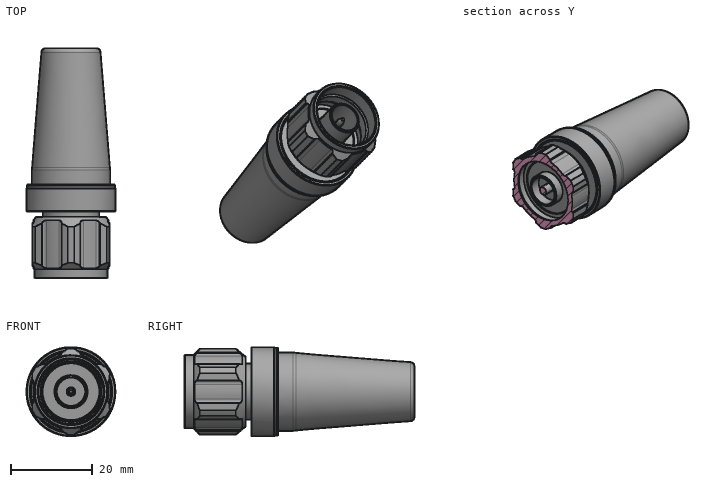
import cadquery as cq
import math


total_length = 56.5
cap_diameter = 19.3
taper_base_diameter = 19.15
tip_diameter = 14.4
cap_shoulder_start = 26.6
taper_start = 27.3
tip_round = 1.15

collar_diameter = 21.9
collar_front = 16.4
collar_back = 22.15
collar_edge_chamfer = 0.15
rear_lip_diameter = 21.65
rear_lip_chamfer_start = 22.7
rear_lip_back = 23.05
rear_lip_chamfer_depth = 0.15
collar_groove_outer_diameter = 20.35
collar_groove_inner_diameter = 19.55
collar_groove_depth = 0.3
neck_diameter = 13.9

nut_ring_diameter = 18.0
nut_ring_chamfer = 0.15
nut_front = 2.25
nut_back = 15.1
nut_tip_diameter = 21.15
nut_front_chamfer_length = 1.5
nut_back_diameter = 17.05
nut_back_chamfer_length = 2.45
nut_across_flats = 19.05
nut_sides = 6
panel_diameter = 18.55
recess_width = 5.7
recess_wall_depth = 0.2
recess_wall_inset = 0.14
recess_hollow_depth = 0.1
panel_width = 3.55

mouth_diameter = 16.5
bore_diameter = 15.9
mouth_chamfer_length = 0.15
thread_diameter = 15.0
thread_start = 4.05
thread_cone_length = 0.3
relief_diameter = 16.15
relief_cone_start = 7.1
relief_cone_length = 1.25
bore_depth = 10.15
floor_rim_diameter = 14.25
floor_chamfer_length = 0.15
floor_depth = bore_depth + floor_chamfer_length

sleeve_base_diameter = 8.2
sleeve_base_front = 7.9
sleeve_outer_diameter = 8.0
sleeve_inner_diameter = 6.95
sleeve_front = 1.0
sleeve_lip_diameter = 7.75
sleeve_edge_chamfer_length = 0.15
pin_base_diameter = 2.15
pin_base_front = 5.65
pin_diameter = 1.65
pin_tip_diameter = 0.8
pin_tip = 1.7
pin_dome_height = 0.2
pin_cone_length = 1.4


def revolve_about_y(points):
    """Revolve a closed (radius, station) outline about the Y axis."""
    return cq.Workplane("XY").polyline(points).close().revolve(360, (0, 0, 0), (0, 1, 0))


def cylinder(diameter, start, end):
    radius = diameter / 2
    return revolve_about_y([(0, start), (radius, start), (radius, end), (0, end)])


def make_cap():
    base = cap_diameter / 2
    cap = revolve_about_y([
        (0, collar_back),
        (base, collar_back),
        (base, cap_shoulder_start),
        (taper_base_diameter / 2, taper_start),
        (tip_diameter / 2, total_length),
        (0, total_length),
    ])
    return cap.faces(">Y").edges().fillet(tip_round)


def make_collar():
    outer = collar_diameter / 2
    lip = rear_lip_diameter / 2
    collar = revolve_about_y([
        (0, collar_front),
        (outer - collar_edge_chamfer, collar_front),
        (outer, collar_front + collar_edge_chamfer),
        (outer, collar_back - collar_edge_chamfer),
        (lip, collar_back),
        (lip, rear_lip_chamfer_start),
        (lip - rear_lip_chamfer_depth, rear_lip_back),
        (0, rear_lip_back),
    ])
    groove_inner = collar_groove_inner_diameter / 2
    groove_outer = collar_groove_outer_diameter / 2
    groove = revolve_about_y([
        (groove_inner, collar_front),
        ((groove_inner + groove_outer) / 2, collar_front + collar_groove_depth),
        (groove_outer, collar_front),
    ])
    return collar.cut(groove)


def make_nut_envelope():
    """Turned blank of the nut: front ring, chamfered grip and back face."""
    ring = nut_ring_diameter / 2
    tip = nut_tip_diameter / 2
    return revolve_about_y([
        (0, 0),
        (ring - nut_ring_chamfer, 0),
        (ring, nut_ring_chamfer),
        (ring, nut_front),
        (tip, nut_front + nut_front_chamfer_length),
        (tip, nut_back - nut_back_chamfer_length),
        (nut_back_diameter / 2, nut_back),
        (0, nut_back),
    ])


def make_flat_cutter():
    """Cutter for the +X side of the nut: a flat with a recessed, rounded panel."""
    apothem = nut_across_flats / 2
    panel_radius = panel_diameter / 2
    half_recess = recess_width / 2
    half_panel = panel_width / 2
    panel_edge = math.sqrt(panel_radius**2 - half_panel**2)
    wall_foot = apothem - recess_wall_depth
    half_foot = half_recess - recess_wall_inset
    hollow = (wall_foot + panel_edge) / 2 - recess_hollow_depth
    half_hollow = (half_foot + half_panel) / 2
    reach = nut_tip_diameter
    half_side = apothem * math.tan(math.pi / nut_sides)
    outline = (
        cq.Workplane("XZ", origin=(0, nut_front, 0))
        .moveTo(reach, -half_side)
        .lineTo(apothem, -half_side)
        .lineTo(apothem, -half_recess)
        .lineTo(wall_foot, -half_foot)
        .threePointArc((hollow, -half_hollow), (panel_edge, -half_panel))
        .threePointArc((panel_radius, 0), (panel_edge, half_panel))
        .threePointArc((hollow, half_hollow), (wall_foot, half_foot))
        .lineTo(apothem, half_recess)
        .lineTo(apothem, half_side)
        .lineTo(reach, half_side)
        .close()
    )
    return outline.extrude(nut_front - nut_back)


def make_nut():
    """Nut with flats, panels and a stepped bore that opens into a relief behind the thread."""
    nut = make_nut_envelope()
    cutter = make_flat_cutter()
    for side in range(nut_sides):
        angle = side * 360 / nut_sides
        nut = nut.cut(cutter.rotate((0, 0, 0), (0, 1, 0), angle))
    bore = bore_diameter / 2
    thread = thread_diameter / 2
    relief = relief_diameter / 2
    return nut.cut(revolve_about_y([
        (0, 0),
        (mouth_diameter / 2, 0),
        (bore, mouth_chamfer_length),
        (bore, thread_start),
        (thread, thread_start + thread_cone_length),
        (thread, relief_cone_start),
        (relief, relief_cone_start + relief_cone_length),
        (relief, bore_depth),
        (floor_rim_diameter / 2, bore_depth),
        (neck_diameter / 2, floor_depth),
        (0, floor_depth),
    ]))


def make_sleeve():
    base = sleeve_base_diameter / 2
    outer = sleeve_outer_diameter / 2
    inner = sleeve_inner_diameter / 2
    return revolve_about_y([
        (inner, sleeve_front),
        (sleeve_lip_diameter / 2, sleeve_front),
        (outer, sleeve_front + sleeve_edge_chamfer_length),
        (outer, sleeve_base_front),
        (base, sleeve_base_front),
        (base, floor_depth),
        (inner, floor_depth),
    ])


def make_pin():
    """Centre pin: a shoulder, a shank and a tapered nose with a domed tip."""
    base = pin_base_diameter / 2
    shank = pin_diameter / 2
    nose = pin_tip_diameter / 2
    dome_radius = (nose**2 + pin_dome_height**2) / (2 * pin_dome_height)
    dome_edge = pin_tip + pin_dome_height
    dome_mid_radius = nose / 2
    dome_mid = pin_tip + dome_radius - math.sqrt(dome_radius**2 - dome_mid_radius**2)
    return (
        cq.Workplane("XY")
        .moveTo(0, pin_tip)
        .threePointArc((dome_mid_radius, dome_mid), (nose, dome_edge))
        .lineTo(shank, dome_edge + pin_cone_length)
        .lineTo(shank, pin_base_front)
        .lineTo(base, pin_base_front)
        .lineTo(base, floor_depth)
        .lineTo(0, floor_depth)
        .close()
        .revolve(360, (0, 0, 0), (0, 1, 0))
    )


neck = cylinder(neck_diameter, floor_depth, collar_front + collar_groove_depth)
result = (
    make_cap()
    .union(make_collar())
    .union(neck)
    .union(make_nut())
    .union(make_sleeve())
    .union(make_pin())
)